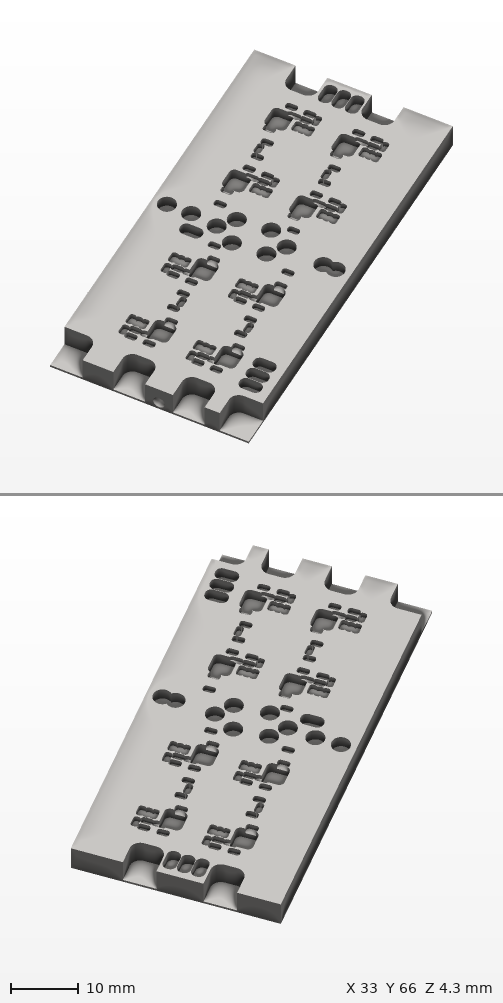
import cadquery as cq

width = 33.0
length = 66.0
height = 4.3

notch_width = 5.3
notch_depth = 4.6
notch_radius = 1.65
web = 0.4
back_notch_centres = [-7.0, 5.7]
front_notch_centres = [-3.35, 6.55]
left_corner_reach = 5.4
right_corner_reach = 4.8

cross_hole_diameter = 2.0
cross_hole_depth = 4.6
cross_hole_x = 1.6
cross_hole_z = 1.4

deep = 2.0
shallow = 1.0
overrun = 0.65

pad_length = 2.0
pad_width = 1.2
pad_radius = 0.45

bridge_length = 2.25
bridge_depth = 0.8

chip_width = 3.6
chip_length = 3.8
chip_radius = 0.85

oval_length = 3.7
oval_width = 2.2
oval_radius = 1.0
oval_pitch = 2.25

pin_diameter = 3.0

column_pitch = 11.15
row_pitch = 13.65
back_block_centre = (-1.4, 15.65)
front_block_centre = (2.25, -15.8)

flat_pads = [
    (-0.4, -2.4),
    (0.5, 3.0),
    (3.55, 1.6),
    (3.55, 3.0),
]
upright_pad_place = (5.1, 2.25)
bridge_place = (1.6, 1.6)
trio_centre = (4.0, -0.05)
trio_pitch = 1.05

link_drop = 6.5
link_pad_shift = 0.5
link_pad_spacing = 1.6

pin_places = [
    (-14.05, 0.0),
    (-10.0, 0.0),
    (-5.55, -0.45),
    (-3.5, 2.05),
    (-2.05, -2.4),
    (2.0, 2.5),
    (3.5, -2.0),
    (5.55, 0.6),
    (11.95, 0.0),
    (14.0, 0.0),
]
single_pads = [(-7.05, 3.6), (4.95, 3.95), (-4.1, -4.0), (8.0, -3.75)]
single_oval = (-8.45, -3.05)
back_ovals_centre = (-0.6, 30.15)
right_ovals_centre = (13.25, -23.8)


def cutter(size_x, size_y, radius, depth, place):
    """Block with rounded upright edges that cuts a pocket of the given depth."""
    return (
        cq.Workplane("XY", origin=(place[0], place[1], height - depth))
        .rect(size_x, size_y)
        .extrude(depth + overrun)
        .edges("|Z")
        .fillet(radius)
    )


def flat_pad(place):
    """Cutter of a pad pocket lying along X."""
    return cutter(pad_length, pad_width, pad_radius, shallow, place)


def upright_pad(place):
    """Cutter of a pad pocket lying along Y."""
    return cutter(pad_width, pad_length, pad_radius, shallow, place)


def circuit(chip):
    """Cutters of one chip pocket and the pad pockets around it."""
    chip_x, chip_y = chip
    cutters = [cutter(chip_width, chip_length, chip_radius, deep, chip)]
    for x, y in flat_pads:
        cutters.append(flat_pad((chip_x + x, chip_y + y)))
    upright_place = (chip_x + upright_pad_place[0], chip_y + upright_pad_place[1])
    cutters.append(upright_pad(upright_place))
    bridge = (chip_x + bridge_place[0], chip_y + bridge_place[1])
    cutters.append(cutter(bridge_length, pad_width, pad_radius, bridge_depth, bridge))
    for step in (-1, 0, 1):
        x = trio_centre[0] + step * trio_pitch
        cutters.append(upright_pad((chip_x + x, chip_y + trio_centre[1])))
    return cutters


def link(chip):
    """Cutters of the three-pad link below a chip."""
    x = chip[0]
    y = chip[1] - link_drop
    cutters = [upright_pad((x, y))]
    for side in (-1, 1):
        cutters.append(flat_pad((x + link_pad_shift, y + side * link_pad_spacing)))
    return cutters


def block(centre, angle):
    """Cutters of a two by two block of circuits, turned about its centre."""
    cutters = []
    for column in (-0.5, 0.5):
        back_chip = (column * column_pitch, row_pitch / 2)
        front_chip = (column * column_pitch, -row_pitch / 2)
        cutters += circuit(back_chip)
        cutters += circuit(front_chip)
        cutters += link(back_chip)
    return [
        tool.rotate((0, 0, 0), (0, 0, 1), angle).translate((centre[0], centre[1], 0))
        for tool in cutters
    ]


def ovals():
    """Cutters of the oval pockets: one alone and two rows of three."""
    cutters = [cutter(oval_length, oval_width, oval_radius, deep, single_oval)]
    for step in (-1, 0, 1):
        shift = step * oval_pitch
        back_place = (back_ovals_centre[0] + shift, back_ovals_centre[1])
        right_place = (right_ovals_centre[0], right_ovals_centre[1] + shift)
        cutters.append(cutter(oval_width, oval_length, oval_radius, deep, back_place))
        cutters.append(cutter(oval_length, oval_width, oval_radius, deep, right_place))
    return cutters


def notches():
    """Cutters of the edge notches, reaching past the plate on their open sides."""
    depth = height - web
    back_y = length / 2
    front_y = -length / 2
    size_y = 2 * notch_depth
    cutters = []
    for x in back_notch_centres:
        cutters.append(cutter(notch_width, size_y, notch_radius, depth, (x, back_y)))
    for x in front_notch_centres:
        cutters.append(cutter(notch_width, size_y, notch_radius, depth, (x, front_y)))
    for reach, x in ((left_corner_reach, -width / 2), (right_corner_reach, width / 2)):
        cutters.append(cutter(2 * reach, size_y, notch_radius, depth, (x, front_y)))
    return cutters


def pins():
    """Cutters of the round pin pockets."""
    bottom = height - deep
    return [
        cq.Workplane("XY", origin=(x, y, bottom)).circle(pin_diameter / 2).extrude(deep + overrun)
        for x, y in pin_places
    ]


def cross_hole():
    """Cutter of the blind hole running inwards from the front face."""
    return (
        cq.Workplane("XZ", origin=(cross_hole_x, -length / 2, cross_hole_z))
        .circle(cross_hole_diameter / 2)
        .extrude(-cross_hole_depth)
    )


plate = cq.Workplane("XY").box(width, length, height, centered=(True, True, False))

tools = notches() + ovals() + pins()
tools += block(back_block_centre, 0)
tools += block(front_block_centre, 180)
tools += [flat_pad(place) for place in single_pads]
tools.append(cross_hole())

cut_plate = plate.val().cut(*[tool.val() for tool in tools]).clean()
result = cq.Workplane(cut_plate.Solids()[0])